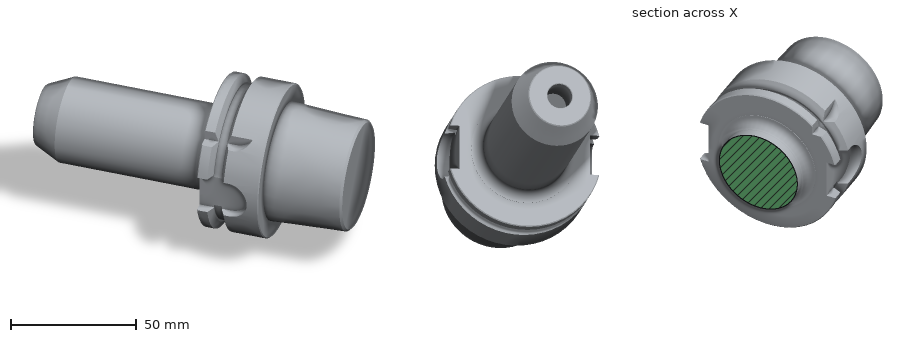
import cadquery as cq

total_length = 132
tip_chamfer = 0.4
nose_end = 10.7
shank_end = 69.4
relief_start = 70.0
flange_start = 74.0
groove_start = 78.4
groove_floor_start = 80.0
groove_floor_end = 83.4
groove_end = 85.3
flange_end = 99.9

tip_radius = 12.7
shank_radius = 35.0 / 2
relief_radius = 34.8 / 2
neck_fillet = 3.3
neck_step_radius = 21.6
neck_step_height = 0.1
flange_radius = 63.0 / 2
groove_wall_radius = 28.2
groove_floor_radius = 27.5
taper_big_radius = 24.3
taper_small_radius = 22.7
flange_chamfer = 0.4
taper_chamfer = 0.9

bore_diameter = 10.0
bore_mouth_diameter = 10.5
bore_depth = 13.2

slot_end = 95.2
front_slot_width = 16.4
front_slot_floor = 26.5
back_slot_width = 18.0
back_slot_floor = 26.3
cutter_radius = front_slot_width / 2
notch_wall = 20.0


def turned_body():
    """Shank, neck, grooved flange and taper, revolved about X."""
    fillet_end = flange_start - neck_step_height
    fillet_start = fillet_end - neck_fillet
    fillet_diagonal = neck_fillet * 0.5 ** 0.5
    profile = (
        cq.Workplane("XY")
        .moveTo(0, 0)
        .lineTo(0, tip_radius - tip_chamfer)
        .lineTo(tip_chamfer, tip_radius)
        .lineTo(nose_end, shank_radius)
        .lineTo(shank_end, shank_radius)
        .lineTo(relief_start, relief_radius)
        .lineTo(fillet_start, relief_radius)
        .threePointArc(
            (fillet_start + fillet_diagonal, relief_radius + neck_fillet - fillet_diagonal),
            (fillet_end, relief_radius + neck_fillet),
        )
        .lineTo(fillet_end, neck_step_radius)
        .lineTo(flange_start, neck_step_radius)
        .lineTo(flange_start, flange_radius - flange_chamfer)
        .lineTo(flange_start + flange_chamfer, flange_radius)
        .lineTo(groove_start, flange_radius)
        .lineTo(groove_floor_start, groove_wall_radius)
        .lineTo(groove_floor_start, groove_floor_radius)
        .lineTo(groove_floor_end, groove_floor_radius)
        .lineTo(groove_floor_end, groove_wall_radius)
        .lineTo(groove_end, flange_radius)
        .lineTo(flange_end - flange_chamfer, flange_radius)
        .lineTo(flange_end, flange_radius - flange_chamfer)
        .lineTo(flange_end, taper_big_radius)
        .lineTo(total_length - taper_chamfer, taper_small_radius)
        .lineTo(total_length, taper_small_radius - taper_chamfer)
        .lineTo(total_length, 0)
        .close()
    )
    return profile.revolve(360, (0, 0, 0), (1, 0, 0))


def bore():
    mouth_chamfer = (bore_mouth_diameter - bore_diameter) / 2
    hole = cq.Workplane("YZ").circle(bore_diameter / 2).extrude(bore_depth)
    mouth = (
        cq.Workplane("XY")
        .lineTo(0, bore_mouth_diameter / 2)
        .lineTo(mouth_chamfer, bore_diameter / 2)
        .lineTo(mouth_chamfer, 0)
        .close()
        .revolve(360, (0, 0, 0), (1, 0, 0))
    )
    return hole.union(mouth)


def side_slot(width, floor, side):
    """Slot ending in two cutter-radius corners; side is +1 for +Y and -1 for -Y."""
    run_out = slot_end - cutter_radius
    half_width = width / 2
    half_flat = half_width - cutter_radius
    outline = (
        cq.Workplane("XZ", origin=(0, side * floor, 0))
        .moveTo(flange_start, -half_width)
        .lineTo(run_out, -half_width)
        .radiusArc((slot_end, -half_flat), -cutter_radius)
    )
    if half_flat > 0:
        outline = outline.lineTo(slot_end, half_flat)
    return (
        outline.radiusArc((run_out, half_width), -cutter_radius)
        .lineTo(flange_start, half_width)
        .close()
        .extrude(-side * (flange_radius - floor))
    )


def orientation_notch():
    """Square-cornered notch whose floor runs out along the cutter radius."""
    run_out = slot_end - cutter_radius
    return (
        cq.Workplane("XZ", origin=(0, -notch_wall, 0))
        .moveTo(flange_start, notch_wall)
        .lineTo(run_out, notch_wall)
        .radiusArc((slot_end, notch_wall + cutter_radius), -cutter_radius)
        .lineTo(flange_start, notch_wall + cutter_radius)
        .close()
        .extrude(flange_radius - notch_wall)
    )


result = (
    turned_body()
    .cut(bore())
    .cut(side_slot(front_slot_width, front_slot_floor, -1))
    .cut(side_slot(back_slot_width, back_slot_floor, 1))
    .cut(orientation_notch())
)